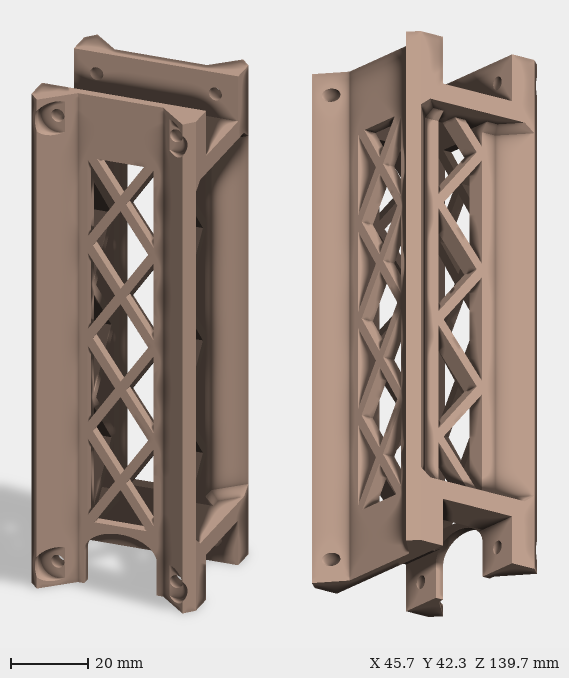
import cadquery as cq
import math

length = 139.7
width = 45.7
depth = 42.3
half_length = length / 2
half_width = width / 2
half_depth = depth / 2

ridge_x = 20.3
shoulder_y = 18.3
front_valley_x = 11.9
front_web_y = 13.5
back_valley_x = 12.9
back_web_y = 14.5

cavity_half_x = 10.0
cavity_half_y = 10.9
channel_half_y = 11.2
channel_depth = 12.9
plate_thickness = 5.0
panel_half_z = half_length - channel_depth - plate_thickness

groove_floor_x = 15.4
groove_floor_half_y = 11.3
groove_end_bevel = 2.2

front_window_half_x = 9.2
side_window_half_y = 7.0
strut_width = 2.5
lattice_start_z = -52.5
front_strut_rise = 26.5
side_strut_rise = 16.0

screw_x = 16.5
screw_end_distance = 6.1
screw_diameter = 3.6
counterbore_diameter = 9.5
counterbore_floor_y = 15.9

arch_spring_height = 9.4
arch_rise = 6.3


def body():
    right_half = [
        (front_valley_x, -front_web_y),
        (ridge_x, -half_depth),
        (half_width, -shoulder_y),
        (half_width, shoulder_y),
        (ridge_x, half_depth),
        (back_valley_x, back_web_y),
    ]
    left_half = [(-x, y) for x, y in reversed(right_half)]
    section = cq.Workplane("XY", origin=(0, 0, -half_length)).polyline(right_half + left_half).close()
    return section.extrude(length)


def side_groove():
    """Groove on the +X side; its ends are bevelled at 45 degrees down to the end plates."""
    flare = (shoulder_y - groove_floor_half_y) / (half_width - groove_floor_x)
    outer_x = half_width + 2 * groove_end_bevel
    outer_half_y = groove_floor_half_y + flare * (outer_x - groove_floor_x)
    section = [
        (groove_floor_x, -groove_floor_half_y),
        (outer_x, -outer_half_y),
        (outer_x, outer_half_y),
        (groove_floor_x, groove_floor_half_y),
    ]
    straight_half_z = panel_half_z - groove_end_bevel
    upper = cq.Workplane("XY").polyline(section).close().extrude(straight_half_z)
    bevel = (
        cq.Workplane("XY", origin=(0, 0, straight_half_z))
        .polyline(section)
        .close()
        .extrude(groove_end_bevel, taper=45)
    )
    upper = upper.union(bevel)
    return upper.union(upper.mirror("XY"))


def strut(plane, start, end):
    """Diagonal bar centred on a line of the plane, long enough to run into the window edges."""
    run = end[0] - start[0]
    rise = end[1] - start[1]
    return (
        cq.Workplane(plane)
        .center((start[0] + end[0]) / 2, (start[1] + end[1]) / 2)
        .transformed(rotate=(0, 0, math.degrees(math.atan2(rise, run))))
        .rect(math.hypot(run, rise) + 2 * strut_width, strut_width)
        .extrude(width, both=True)
    )


def lattice_window(plane, half_span, strut_rise, first_sides):
    """Window opening through the whole part, minus one zigzag of struts per starting side."""
    window = cq.Workplane(plane).rect(2 * half_span, 2 * panel_half_z).extrude(width, both=True)
    strut_count = math.ceil((panel_half_z - lattice_start_z) / strut_rise)
    for first_side in first_sides:
        side = first_side
        for index in range(strut_count):
            z = lattice_start_z + index * strut_rise
            start = (side * half_span, z)
            end = (-side * half_span, z + strut_rise)
            window = window.cut(strut(plane, start, end))
            side = -side
    return window


def cylinder_y(x, z, diameter, y_from, y_to):
    """Cylinder along Y from y_from to y_to."""
    return (
        cq.Workplane("XZ", origin=(x, y_from, z))
        .circle(diameter / 2)
        .extrude(y_from - y_to)
    )


def arch_notch():
    bottom = cq.Workplane("XZ", origin=(0, 0, -half_length))
    opening = bottom.rect(2 * cavity_half_x, 2 * arch_spring_height).extrude(half_depth)
    crown = bottom.center(0, arch_spring_height).ellipse(cavity_half_x, arch_rise).extrude(half_depth)
    return opening.union(crown)


result = body()

result = result.cut(cq.Workplane("XY").box(2 * cavity_half_x, 2 * cavity_half_y, length))
for end in (-1, 1):
    channel = cq.Workplane("XY").box(width, 2 * channel_half_y, channel_depth)
    result = result.cut(channel.translate((0, 0, end * (half_length - channel_depth / 2))))

groove = side_groove()
result = result.cut(groove).cut(groove.mirror("YZ"))

result = result.cut(lattice_window("XZ", front_window_half_x, front_strut_rise, (-1, 1)))
result = result.cut(lattice_window("YZ", side_window_half_y, side_strut_rise, (-1,)))

bevel_relief = cq.Workplane("XY").box(groove_end_bevel, 2 * side_window_half_y, groove_end_bevel)
for side in (-1, 1):
    relief_x = side * (groove_floor_x + groove_end_bevel / 2)
    relief_z = panel_half_z - groove_end_bevel / 2
    result = result.cut(bevel_relief.translate((relief_x, 0, relief_z)))

screw_z = half_length - screw_end_distance
for x in (-screw_x, screw_x):
    for z in (-screw_z, screw_z):
        result = result.cut(cylinder_y(x, z, screw_diameter, -half_depth, half_depth))
        result = result.cut(cylinder_y(x, z, counterbore_diameter, -half_depth, -counterbore_floor_y))

result = result.cut(arch_notch())